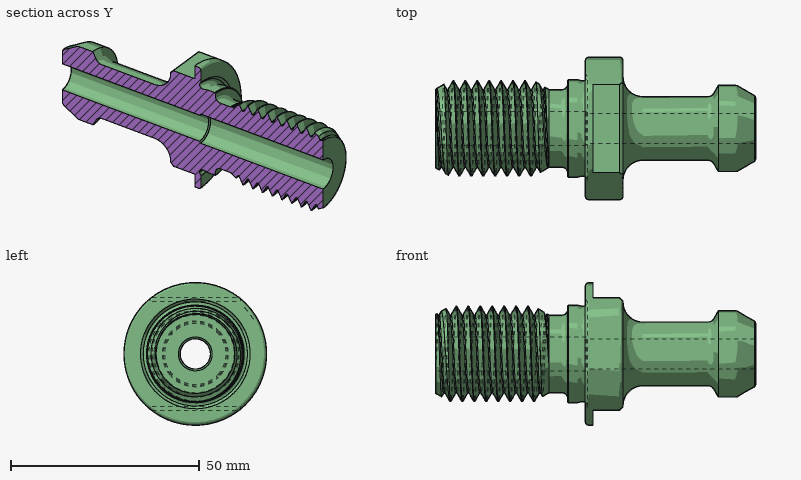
import cadquery as cq
import math

neck_end_x = 35.1
flange_start_x = 39.8
flat_start_x = 41.9
flange_end_x = 49.9
head_start_x = 75.2
head_cone_x = 80.1
total_length = 85.2

thread_crest_radius = 12.7
thread_root_radius = 10.42
neck_radius = 10.35
pilot_radius = 13.0
flange_radius = 19.0
stem_radius = 8.5
head_radius = 11.5

thread_pitch = 25.4 / 8
thread_crest_width = 0.2
thread_flank_angle = 30
thread_phase_x = 4.74
groove_turns = 11.2
groove_lead_turns = 2
groove_clearance = 0.1
shank_length = 32.0
blank_radius = 14.0
overrun = 1.0
thread_end_angle = 30
thread_tip_radius = 10.5
thread_runout_x = 30.2

neck_fillet = 1.5
pilot_chamfer = 0.2
flange_fillet = 1.0
stem_fillet = 5.2
head_undercut_fillet = 1.7
head_back_angle = 60
head_nose_angle = 30
head_cone_fillet = 1.0
head_tip_chamfer = 0.4

relief_start_x = 37.8
relief_floor_x = 38.85
relief_floor_radius = 12.75
relief_corner_radius = 1.1
relief_depth = 0.6
relief_outer_radius = 14.6

flat_distance = 15.0
flat_chamfer = 1.0

entry_bore_radius = 4.5
main_bore_radius = 4.0
entry_bore_depth = 40.0
drill_tip_angle = 118


def tan(degrees):
    return math.tan(math.radians(degrees))


def arc_inset(radius):
    """Distance from a square corner to the middle of its fillet, along each side."""
    return radius * (1 - math.sqrt(0.5))


def make_body():
    """Turned body beyond the threaded shank, before flats and bore."""
    relief_bottom_x = flange_start_x + relief_depth
    relief_inset = arc_inset(relief_corner_radius)
    relief_centre_x = relief_bottom_x - relief_corner_radius
    relief_centre_radius = relief_floor_radius + relief_corner_radius
    stem_inset = arc_inset(stem_fillet)
    neck_inset = arc_inset(neck_fillet)
    neck_fillet_x = neck_end_x - neck_fillet
    flange_inset = arc_inset(flange_fillet)
    undercut_x = head_start_x - (head_radius - stem_radius) / tan(head_back_angle)
    tip_radius = head_radius - (total_length - head_cone_x) * tan(head_nose_angle)

    profile = (
        cq.Workplane("XY")
        .moveTo(shank_length, 0)
        .lineTo(shank_length, neck_radius)
        .lineTo(neck_fillet_x, neck_radius)
        .threePointArc(
            (neck_end_x - neck_inset, neck_radius + neck_inset),
            (neck_end_x, neck_radius + neck_fillet),
        )
        .lineTo(neck_end_x, pilot_radius - pilot_chamfer)
        .lineTo(neck_end_x + pilot_chamfer, pilot_radius)
        .lineTo(relief_start_x, pilot_radius)
        .lineTo(relief_floor_x, relief_floor_radius)
        .lineTo(relief_centre_x, relief_floor_radius)
        .threePointArc(
            (relief_bottom_x - relief_inset, relief_floor_radius + relief_inset),
            (relief_bottom_x, relief_centre_radius),
        )
        .lineTo(flange_start_x, relief_outer_radius)
        .lineTo(flange_start_x, flange_radius - flange_fillet)
        .threePointArc(
            (flange_start_x + flange_inset, flange_radius - flange_inset),
            (flange_start_x + flange_fillet, flange_radius),
        )
        .lineTo(flange_end_x - flange_fillet, flange_radius)
        .threePointArc(
            (flange_end_x - flange_inset, flange_radius - flange_inset),
            (flange_end_x, flange_radius - flange_fillet),
        )
        .lineTo(flange_end_x, stem_radius + stem_fillet)
        .threePointArc(
            (flange_end_x + stem_inset, stem_radius + stem_inset),
            (flange_end_x + stem_fillet, stem_radius),
        )
        .lineTo(undercut_x, stem_radius)
        .lineTo(head_start_x, head_radius)
        .lineTo(head_cone_x, head_radius)
        .lineTo(total_length, tip_radius)
        .lineTo(total_length, 0)
        .close()
    )
    body = profile.revolve(360, (0, 0, 0), (1, 0, 0))
    body = fillet_circle(body, undercut_x, head_undercut_fillet)
    body = fillet_circle(body, head_cone_x, head_cone_fillet)
    return body.faces(">X").edges().chamfer(head_tip_chamfer)


def fillet_circle(body, x, radius):
    """Round the circular edge lying in the plane at the given X."""
    tolerance = 0.01
    reach = 2 * flange_radius
    selector = cq.selectors.BoxSelector(
        (x - tolerance, -reach, -reach), (x + tolerance, reach, reach)
    )
    return body.edges(selector).fillet(radius)


def make_thread():
    """Threaded shank: a plain shank with a helical groove and a cone at each end."""
    shank = cq.Workplane("YZ").circle(thread_crest_radius).extrude(shank_length)
    grooved = shank.cut(make_thread_groove())

    slope = tan(thread_end_angle)
    tip_length = (blank_radius - thread_tip_radius) / slope
    runout_length = (blank_radius - neck_radius) / slope
    entry_cutter = revolve_about_x([
        (-overrun, thread_tip_radius - overrun * slope),
        (-overrun, blank_radius),
        (tip_length, blank_radius),
    ])
    runout_cutter = revolve_about_x([
        (thread_runout_x, neck_radius),
        (thread_runout_x - runout_length, blank_radius),
        (shank_length + overrun, blank_radius),
        (shank_length + overrun, neck_radius),
    ])
    return grooved.cut(entry_cutter).cut(runout_cutter)


def make_thread_groove():
    """Right-hand helical groove that leaves the thread ridge standing."""
    def half_width(radius):
        crest_half = (thread_pitch - thread_crest_width) / 2
        return crest_half + (radius - thread_crest_radius) * tan(thread_flank_angle)

    outer_radius = thread_crest_radius + groove_clearance
    root_half = half_width(thread_root_radius)
    outer_half = half_width(outer_radius)
    start_x = thread_phase_x - (groove_lead_turns + 0.5) * thread_pitch

    helix = cq.Wire.makeHelix(thread_pitch, groove_turns * thread_pitch, thread_root_radius)
    groove = (
        cq.Workplane("XZ")
        .polyline([
            (thread_root_radius, -root_half),
            (outer_radius, -outer_half),
            (outer_radius, outer_half),
            (thread_root_radius, root_half),
        ])
        .close()
        .sweep(cq.Workplane(obj=helix), isFrenet=True)
    )
    return groove.rotate((0, 0, 0), (1, 1, 1), 120).translate((start_x, 0, 0))


def revolve_about_x(points):
    """Solid of revolution about X from a closed polygon of (x, radius) points."""
    return cq.Workplane("XY").polyline(points).close().revolve(360, (0, 0, 0), (1, 0, 0))


def cut_flats(body):
    """Two opposite wrench flats with a chamfer along the stem side."""
    for side in (1, -1):
        cutter = (
            cq.Workplane("XZ")
            .polyline([
                (flat_start_x, side * flat_distance),
                (flange_end_x - flat_chamfer, side * flat_distance),
                (flange_end_x, side * (flat_distance - flat_chamfer)),
                (flange_end_x, side * 2 * flange_radius),
                (flat_start_x, side * 2 * flange_radius),
            ])
            .close()
            .extrude(flange_radius, both=True)
        )
        body = body.cut(cutter)
    return body


def make_bore():
    """Through bore, wider from the threaded end, with a conical step."""
    cone_length = (entry_bore_radius - main_bore_radius) / tan(drill_tip_angle / 2)
    return revolve_about_x([
        (0, 0),
        (0, entry_bore_radius),
        (entry_bore_depth, entry_bore_radius),
        (entry_bore_depth + cone_length, main_bore_radius),
        (total_length, main_bore_radius),
        (total_length, 0),
    ])


body = cut_flats(make_body())
part = body.union(make_thread()).cut(make_bore())
result = cq.Workplane(obj=part.solids().val())